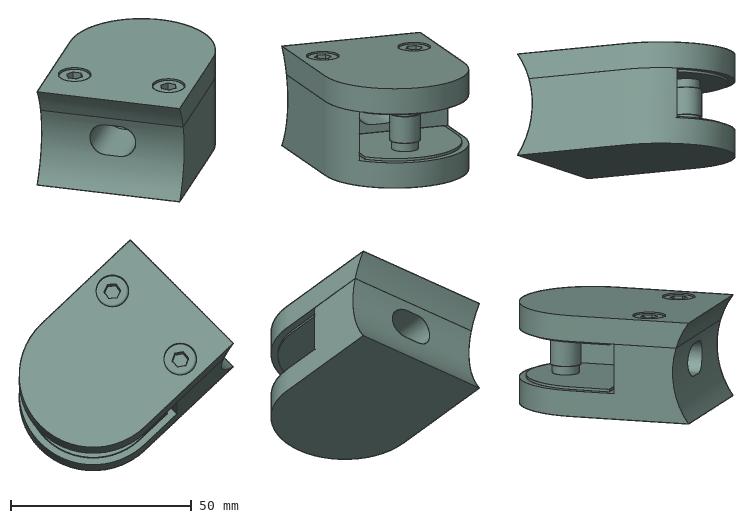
import cadquery as cq
import math


WIDTH = 41.0
LENGTH = 54.65
HEIGHT = 28.5
PLATE_THICKNESS = 7.25
NOSE_RADIUS = WIDTH / 2
NOSE_Y = LENGTH - NOSE_RADIUS
POST_RADIUS = 24.15
CUTTER_LENGTH = 2 * LENGTH

COVER_Z = HEIGHT - PLATE_THICKNESS
POCKET_HEIGHT = COVER_Z - PLATE_THICKNESS
POCKET_BACK_Y = 21.7
SIDE_WALL = 5.0
POCKET_RIGHT_X = WIDTH / 2 - SIDE_WALL

SLOT_WIDTH = 13.1
SLOT_HEIGHT = 9.1

PAD_THICKNESS = 0.7
PAD_MARGIN = 1.9

PIN_Y = 42.15
PIN_DIAMETER = 7.5
COLLAR_DIAMETER = 8.5
COLLAR_HEIGHT = 7.65
PIN_HEIGHT = POCKET_HEIGHT - 2 * PAD_THICKNESS

SCREW_X = 13.5
SCREW_Y = 13.65
HEAD_DIAMETER = 9.0
HEAD_HEIGHT = 5.0
HEAD_RECESS = 0.3
HEAD_FILLET = 0.65
SHANK_DIAMETER = 5.0
SHANK_LENGTH = 16.0
HEX_ACROSS_FLATS = 4.0
HEX_ACROSS_CORNERS = HEX_ACROSS_FLATS / math.cos(math.pi / 6)
SOCKET_DEPTH = 2.5
HEAD_TOP_Z = HEIGHT - HEAD_RECESS
SEAT_Z = HEAD_TOP_Z - HEAD_HEIGHT
SCREW_PLACES = [(-SCREW_X, -3.5), (SCREW_X, -10.0)]


def rounded_block(margin, bottom_z, height):
    """Block with a half-round nose at +Y, set in by the margin from the sides and the nose."""
    radius = NOSE_RADIUS - margin
    return (
        cq.Workplane("XY", origin=(0, 0, bottom_z))
        .moveTo(-radius, 0)
        .lineTo(radius, 0)
        .lineTo(radius, NOSE_Y)
        .threePointArc((0, NOSE_Y + radius), (-radius, NOSE_Y))
        .close()
        .extrude(height)
    )


def pocket_block(margin, bottom_z, height):
    """Block over the floor of the glass pocket, set in from its back and its side wall."""
    return (
        cq.Workplane("XY", origin=(POCKET_RIGHT_X - margin, POCKET_BACK_Y + margin, bottom_z))
        .box(CUTTER_LENGTH, CUTTER_LENGTH, height, centered=False)
        .translate((-CUTTER_LENGTH, 0, 0))
    )


def post():
    """Round post along X whose surface passes through the -Y edges of the clamp."""
    axis_y = -math.sqrt(POST_RADIUS**2 - (HEIGHT / 2) ** 2)
    return (
        cq.Workplane("YZ", origin=(0, axis_y, HEIGHT / 2))
        .circle(POST_RADIUS)
        .extrude(CUTTER_LENGTH / 2, both=True)
    )


def fixing_slot():
    """Slotted hole along Y, from the post seat to the glass pocket."""
    return (
        cq.Workplane("XZ", origin=(0, 0, HEIGHT / 2))
        .slot2D(SLOT_WIDTH, SLOT_HEIGHT)
        .extrude(-LENGTH)
    )


def screw_blank(x, top_z):
    """Plain screw envelope: the shank below the seat and the head from the seat up to top_z."""
    head = (
        cq.Workplane("XY", origin=(x, SCREW_Y, SEAT_Z))
        .circle(HEAD_DIAMETER / 2)
        .extrude(top_z - SEAT_Z)
    )
    shank = (
        cq.Workplane("XY", origin=(x, SCREW_Y, SEAT_Z))
        .circle(SHANK_DIAMETER / 2)
        .extrude(-SHANK_LENGTH)
    )
    return head.union(shank)


def cut_screw_holes(body):
    """Counterbored screw holes, open at the top of the cover."""
    for x, _ in SCREW_PLACES:
        body = body.cut(screw_blank(x, HEIGHT))
    return body


def make_base():
    body = rounded_block(0, 0, COVER_Z)
    body = body.cut(pocket_block(0, PLATE_THICKNESS, POCKET_HEIGHT))
    body = body.cut(post()).cut(fixing_slot())
    return cut_screw_holes(body)


def make_cover():
    body = rounded_block(0, COVER_Z, PLATE_THICKNESS).cut(post())
    return cut_screw_holes(body)


def make_pad(bottom_z):
    """Pad with an even margin to the edges of the pocket."""
    outline = rounded_block(PAD_MARGIN, bottom_z, PAD_THICKNESS)
    return outline.intersect(pocket_block(PAD_MARGIN, bottom_z, PAD_THICKNESS))


def centered_cylinder(diameter, height):
    """Upright cylinder centred on the origin."""
    return cq.Workplane("XY", origin=(0, 0, -height / 2)).circle(diameter / 2).extrude(height)


def make_pin():
    """Pin between the pads with a thicker collar at mid height."""
    core = centered_cylinder(PIN_DIAMETER, PIN_HEIGHT)
    collar = centered_cylinder(COLLAR_DIAMETER, COLLAR_HEIGHT)
    return core.union(collar).translate((0, PIN_Y, HEIGHT / 2))


def make_screw(x, twist):
    """Cap screw with its head just below the top of the cover and a hex socket."""
    socket = (
        cq.Workplane("XY")
        .polygon(6, HEX_ACROSS_CORNERS)
        .extrude(-SOCKET_DEPTH)
        .rotate((0, 0, 0), (0, 0, 1), twist)
        .translate((x, SCREW_Y, HEAD_TOP_Z))
    )
    return screw_blank(x, HEAD_TOP_Z).faces(">Z").edges().fillet(HEAD_FILLET).cut(socket)


base = make_base()
cover = make_cover()
pads = [make_pad(z) for z in (PLATE_THICKNESS, COVER_Z - PAD_THICKNESS)]
pin = make_pin()
screws = [make_screw(x, twist) for x, twist in SCREW_PLACES]

result = cq.Compound.makeCompound(
    [
        base.val(),
        cover.val(),
        *[pad.val() for pad in pads],
        pin.val(),
        *[screw.val() for screw in screws],
    ]
)